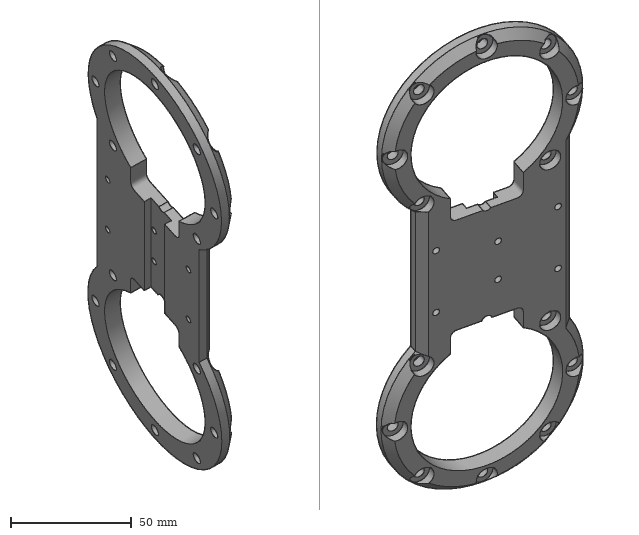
import cadquery as cq
import math

total_height = 243.0
thickness = 8.0
ring_spacing = 147.3
lower_outer_radius = 48.0
upper_outer_radius = total_height - ring_spacing - lower_outer_radius
bore_radius = 36.0
ring_offset = ring_spacing / 2
back_chamfer = thickness / 2

web_width = 73.2
web_center_x = -4.9

window_width = 34.5
window_fillet = 3.0
upper_window_end = 29.5
lower_window_end = 30.5

channel_width = 14.5
channel_center_x = -0.2
channel_depth = 3.5

bolt_count = 8
bolt_circle_radius = 42.5
bolt_diameter = 5.0
counterbore_diameter = 10.0
counterbore_depth = 4.0

small_hole_diameter = 3.2
corner_hole_spacing_x = 57.8
corner_hole_spacing_z = 33.5
channel_hole_x = -5.3
upper_channel_hole_z = 9.7
lower_channel_hole_z = -11.0


def front_box(center_x, width, z_low, z_high, depth):
    """Box from the front face to the given depth."""
    box = cq.Workplane("XY").box(width, depth, z_high - z_low, centered=(True, False, False))
    return box.translate((center_x, 0, z_low))


def cylinder_to_back(x, z, diameter, depth=thickness):
    """Cylinder along Y that ends on the back face."""
    start = cq.Workplane("XZ", origin=(x, thickness - depth, z))
    return start.circle(diameter / 2).extrude(-depth)


def make_blank():
    """Solid outline of both rings and the web, chamfered around the back edge."""
    web = front_box(web_center_x, web_width, -ring_offset, ring_offset, thickness)
    upper_disc = cylinder_to_back(0, ring_offset, 2 * upper_outer_radius)
    lower_disc = cylinder_to_back(0, -ring_offset, 2 * lower_outer_radius)
    return web.union(upper_disc).union(lower_disc).faces(">Y").chamfer(back_chamfer)


def make_opening(side, window_end):
    """Bore joined with its window; side is +1 for the upper ring and -1 for the lower."""
    ring_z = side * ring_offset
    end_z = side * window_end
    window = front_box(0, window_width, min(end_z, ring_z), max(end_z, ring_z), thickness)
    end_face = "<Z" if side > 0 else ">Z"
    window = window.faces(end_face).edges("|Y").fillet(window_fillet)
    return window.union(cylinder_to_back(0, ring_z, 2 * bore_radius))


def cut_bolt_holes(body, side):
    """Bolt circle of one ring, started at the plain hole that the window cuts open."""
    for index in range(bolt_count):
        angle = 2 * math.pi * index / bolt_count
        x = bolt_circle_radius * math.sin(angle)
        z = side * (ring_offset - bolt_circle_radius * math.cos(angle))
        body = body.cut(cylinder_to_back(x, z, bolt_diameter))
        if index > 0:
            body = body.cut(cylinder_to_back(x, z, counterbore_diameter, counterbore_depth))
    return body


def cut_small_holes(body):
    """Four corner holes in the web and two in the channel."""
    positions = [(channel_hole_x, upper_channel_hole_z), (channel_hole_x, lower_channel_hole_z)]
    for side_x in (-1, 1):
        for side_z in (-1, 1):
            x = web_center_x + side_x * corner_hole_spacing_x / 2
            positions.append((x, side_z * corner_hole_spacing_z / 2))
    for x, z in positions:
        body = body.cut(cylinder_to_back(x, z, small_hole_diameter))
    return body


plate = make_blank()
plate = plate.cut(make_opening(1, upper_window_end))
plate = plate.cut(make_opening(-1, lower_window_end))
channel = front_box(channel_center_x, channel_width, -lower_window_end, upper_window_end, channel_depth)
plate = plate.cut(channel)
for ring_side in (1, -1):
    plate = cut_bolt_holes(plate, ring_side)
plate = cut_small_holes(plate)

height_shift = (lower_outer_radius - upper_outer_radius) / 2
result = plate.translate((0, -thickness / 2, height_shift))